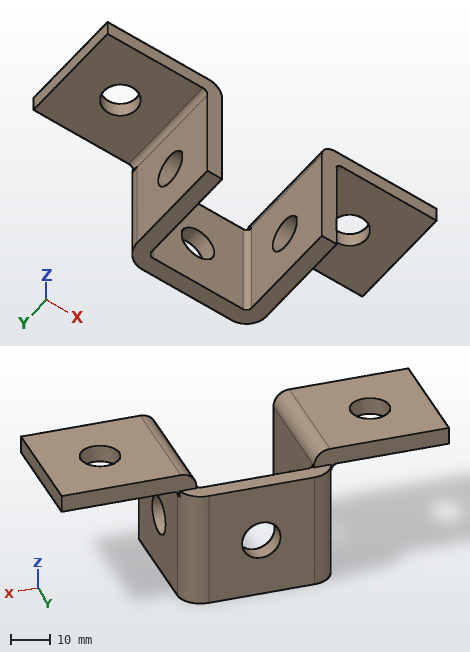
import cadquery as cq

overall_length = 104.8
overall_height = 36.5
overall_depth = 36.5
sheet = 4.7
channel_gap = 31.7
hole_diameter = 10.4
inner_bend = 1.6
flange_outer_bend = 4.3

channel_width = channel_gap + 2 * sheet
web_outer_bend = inner_bend + sheet
plate_depth = overall_depth - sheet
wall_height = overall_height - sheet
flange_length = (overall_length - channel_gap) / 2
hole_height = wall_height / 2
hole_depth_position = plate_depth / 2
flange_hole_x = overall_length / 2 - hole_depth_position


def make_channel():
    """U-shaped channel: two side walls joined by a rear web, open at the front."""
    outer = (
        cq.Workplane("XY")
        .box(channel_width, overall_depth, wall_height, centered=(True, False, False))
        .edges("|Z and >Y")
        .fillet(web_outer_bend)
    )
    opening = (
        cq.Workplane("XY")
        .box(channel_gap, plate_depth, wall_height, centered=(True, False, False))
        .edges("|Z and >Y")
        .fillet(inner_bend)
    )
    return outer.cut(opening)


def make_flange(side):
    """Angle formed by the upper part of one wall bent outward; side is -1 or 1."""
    inner_face = side * channel_gap / 2
    outer_face = side * channel_width / 2
    tip = inner_face + side * flange_length
    root_height = wall_height - inner_bend
    profile = (
        cq.Workplane("XZ")
        .moveTo(inner_face, root_height)
        .lineTo(inner_face, overall_height - flange_outer_bend)
        .radiusArc((inner_face + side * flange_outer_bend, overall_height), side * flange_outer_bend)
        .lineTo(tip, overall_height)
        .lineTo(tip, wall_height)
        .lineTo(outer_face + side * inner_bend, wall_height)
        .radiusArc((outer_face, root_height), -side * inner_bend)
        .close()
    )
    return profile.extrude(-plate_depth)


def make_hole(plane, across, up):
    """Cylinder running right through the part along the normal of the plane."""
    return (
        cq.Workplane(plane)
        .center(across, up)
        .circle(hole_diameter / 2)
        .extrude(overall_length, both=True)
    )


bracket = make_channel()
for side in (-1, 1):
    bracket = bracket.union(make_flange(side))

bracket = bracket.cut(make_hole("XZ", 0, hole_height))
bracket = bracket.cut(make_hole("YZ", hole_depth_position, hole_height))
for side in (-1, 1):
    bracket = bracket.cut(make_hole("XY", side * flange_hole_x, hole_depth_position))

result = bracket